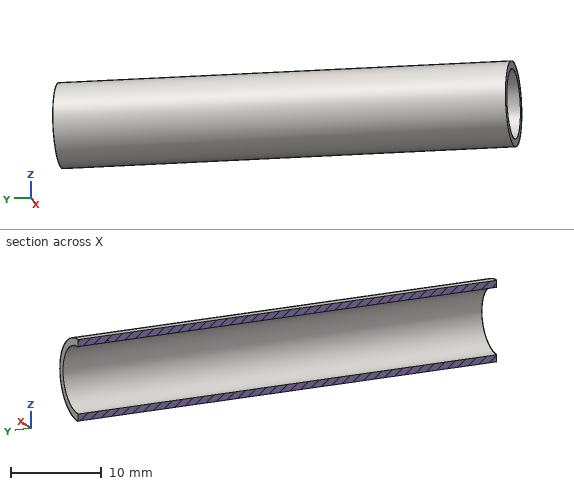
import cadquery as cq

length = 50.8
outer_diameter = 9.5
wall_thickness = 0.85
bore_diameter = outer_diameter - 2 * wall_thickness

result = (
    cq.Workplane("XZ", origin=(0, length / 2, 0))
    .circle(outer_diameter / 2)
    .circle(bore_diameter / 2)
    .extrude(length)
)